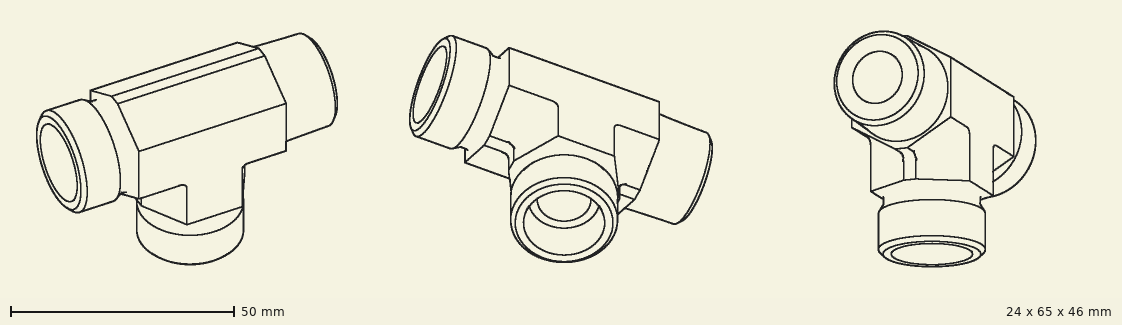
import cadquery as cq
import math

across_flats = 24.0
ridge_height = 13.0
front_face = 19.0
back_face = 18.0
branch_face = 19.0
crotch_radius = 1.8

stub_length = 14.05
thread_radius = 11.99
neck_radius = 10.85
neck_length = 2.4
neck_fillet = 1.0
runout_angle = math.radians(30)
thread_chamfer = 1.05

passage_radius = 6.01
seat_radius = 8.0
mouth_radius = 9.1
mouth_angle = math.radians(12)
seat_depth = 8.45

taper_end = 32.0
taper_root_radius = 11.3
taper_slope = 1 / 32
taper_chamfer = 1.05

crotch_inner = 0.7 * ridge_height
crotch_margin = 0.05
half_width = across_flats / 2
front_end = front_face + stub_length
branch_end = branch_face + stub_length
mouth_depth = (mouth_radius - seat_radius) / math.tan(mouth_angle)

front_arm = cq.Plane(origin=(0, 0, 0), xDir=(1, 0, 0), normal=(0, -1, 0))
back_arm = cq.Plane(origin=(0, 0, 0), xDir=(1, 0, 0), normal=(0, 1, 0))
branch_arm = cq.Plane(origin=(0, 0, 0), xDir=(1, 0, 0), normal=(0, 0, -1))


def hexagon_bar(plane, start, end):
    """Hexagonal bar with flats facing X and its two opposite corners truncated."""
    flat_edge = half_width / math.sqrt(3)
    ridge_edge = 2 * half_width - ridge_height * math.sqrt(3)
    outline = [
        (half_width, -flat_edge),
        (half_width, flat_edge),
        (ridge_edge, ridge_height),
        (-ridge_edge, ridge_height),
        (-half_width, flat_edge),
        (-half_width, -flat_edge),
        (-ridge_edge, -ridge_height),
        (ridge_edge, -ridge_height),
    ]
    return cq.Workplane(plane).workplane(offset=start).polyline(outline).close().extrude(end - start)


def turned(plane, profile):
    """Close and revolve a (radius, distance) profile about the arm axis."""
    solid = profile.close().revolve(360, (0, 0, 0), (0, 1, 0)).val()
    return cq.Workplane(solid.moved(cq.Location(plane)))


def threaded_stub(plane, face, end):
    """Cylinder with a relief neck, a conical runout and a chamfered end."""
    neck_end = face + neck_length
    blend_radius = neck_radius + neck_fillet
    blend_sag = neck_fillet * (1 - math.sqrt(0.5))
    runout_blend_radius = neck_radius + neck_fillet * (1 - math.cos(runout_angle))
    runout_blend_mid_radius = neck_radius + neck_fillet * (1 - math.cos(runout_angle / 2))
    runout_blend_mid = neck_end + neck_fillet * math.sin(runout_angle / 2)
    runout_start = neck_end + neck_fillet * math.sin(runout_angle)
    runout_end = runout_start + (thread_radius - runout_blend_radius) / math.tan(runout_angle)
    profile = (
        cq.Workplane("XZ")
        .moveTo(0, 0)
        .lineTo(0, end)
        .lineTo(thread_radius - thread_chamfer, end)
        .lineTo(thread_radius, end - thread_chamfer)
        .lineTo(thread_radius, runout_end)
        .lineTo(runout_blend_radius, runout_start)
        .threePointArc((runout_blend_mid_radius, runout_blend_mid), (neck_radius, neck_end))
        .lineTo(neck_radius, face + neck_fillet)
        .threePointArc((neck_radius + blend_sag, face + blend_sag), (blend_radius, face))
        .lineTo(blend_radius, 0)
    )
    return turned(plane, profile)


def tapered_stub(plane, face, end):
    """Slightly conical stub with a chamfered end."""
    chamfer_start = end - taper_chamfer
    tip_radius = taper_root_radius - taper_slope * (chamfer_start - face)
    profile = (
        cq.Workplane("XZ")
        .moveTo(0, 0)
        .lineTo(0, end)
        .lineTo(tip_radius - taper_chamfer, end)
        .lineTo(tip_radius, chamfer_start)
        .lineTo(taper_root_radius, face)
        .lineTo(taper_root_radius, 0)
    )
    return turned(plane, profile)


def stub_bore(plane, end):
    """Passage from the axis crossing, widened to a tube seat and a conical mouth."""
    profile = (
        cq.Workplane("XZ")
        .moveTo(0, 0)
        .lineTo(0, end)
        .lineTo(mouth_radius, end)
        .lineTo(seat_radius, end - mouth_depth)
        .lineTo(seat_radius, end - seat_depth)
        .lineTo(passage_radius, end - seat_depth)
        .lineTo(passage_radius, 0)
    )
    return turned(plane, profile)


run = hexagon_bar(front_arm, -back_face, front_face)
branch = hexagon_bar(branch_arm, 0, branch_face)
body = run.union(branch)
for side in (-1, 1):
    crotch_edges = cq.selectors.BoxSelector(
        (-half_width, side * crotch_inner, -ridge_height - crotch_margin),
        (half_width, side * (ridge_height + crotch_margin), -crotch_inner),
    )
    body = body.edges(crotch_edges).fillet(crotch_radius)

body = body.union(threaded_stub(front_arm, front_face, front_end))
body = body.union(threaded_stub(branch_arm, branch_face, branch_end))
body = body.union(tapered_stub(back_arm, back_face, taper_end))

body = body.cut(stub_bore(front_arm, front_end))
body = body.cut(stub_bore(branch_arm, branch_end))
body = body.cut(cq.Workplane(back_arm).circle(passage_radius).extrude(taper_end))

result = body